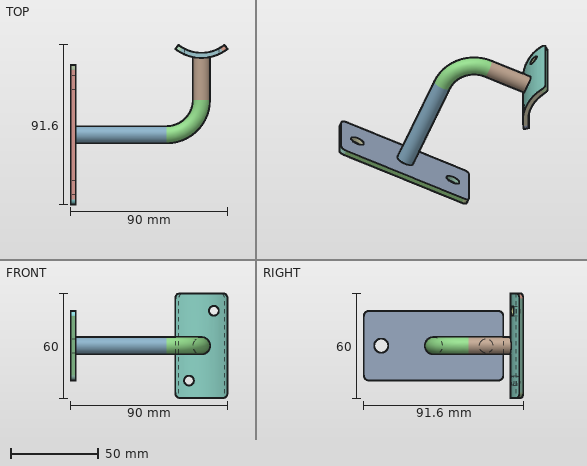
import cadquery as cq
import math

overall_x = 90.0
overall_y = 91.6

plate_length = 80.0
plate_height = 40.0
sheet_thickness = 3.0
corner_radius = 3.0
plate_hole_diameter = 8.0
plate_hole_spacing = 60.0

rod_diameter = 10.0
bend_radius = 20.0

saddle_width = 30.0
saddle_height = 60.0
saddle_inner_radius = 21.2
saddle_hole_diameter = 5.5
saddle_hole_offset = 7.1
saddle_hole_spacing = 40.0

rod_y = plate_length / 2
saddle_x = overall_x - saddle_width / 2
saddle_outer_radius = saddle_inner_radius + sheet_thickness
saddle_half_angle = math.asin(saddle_width / 2 / saddle_outer_radius)
saddle_axis_y = overall_y + saddle_inner_radius * math.cos(saddle_half_angle)
saddle_mid_y = saddle_axis_y - saddle_inner_radius - sheet_thickness / 2


def make_wall_plate():
    """Rectangular plate with rounded corners and two screw holes."""
    plate = (
        cq.Workplane("YZ")
        .center(rod_y, 0)
        .rect(plate_length, plate_height)
        .extrude(sheet_thickness)
        .edges("|X")
        .fillet(corner_radius)
    )
    holes = (
        cq.Workplane("YZ")
        .center(rod_y, 0)
        .rarray(plate_hole_spacing, 0.9, 2, 1)
        .circle(plate_hole_diameter / 2)
        .extrude(sheet_thickness)
    )
    return plate.cut(holes)


def make_rod():
    """Round rod leaving the plate along X and bending to +Y into the saddle."""
    bend_start_x = saddle_x - bend_radius
    bend_end_y = rod_y + bend_radius
    path = (
        cq.Workplane("XY")
        .moveTo(sheet_thickness, rod_y)
        .lineTo(bend_start_x, rod_y)
        .tangentArcPoint((saddle_x, bend_end_y), relative=False)
        .lineTo(saddle_x, saddle_mid_y)
    )
    section = cq.Workplane("YZ", origin=(sheet_thickness, rod_y, 0))
    return section.circle(rod_diameter / 2).sweep(path)


def saddle_point(radius, angle):
    """Point at an angle from the saddle's mid line, around its tube axis."""
    return (saddle_x + radius * math.sin(angle), saddle_axis_y - radius * math.cos(angle))


def make_saddle():
    """Arc-shaped sheet with radial ends and rounded corners."""
    return (
        cq.Workplane("XY", origin=(0, 0, -saddle_height / 2))
        .moveTo(*saddle_point(saddle_outer_radius, -saddle_half_angle))
        .threePointArc(
            saddle_point(saddle_outer_radius, 0),
            saddle_point(saddle_outer_radius, saddle_half_angle),
        )
        .lineTo(*saddle_point(saddle_inner_radius, saddle_half_angle))
        .threePointArc(
            saddle_point(saddle_inner_radius, 0),
            saddle_point(saddle_inner_radius, -saddle_half_angle),
        )
        .close()
        .extrude(saddle_height)
        .edges("%LINE and (not |Z)")
        .fillet(corner_radius)
    )


def make_saddle_holes():
    """Two screw holes along Y, placed diagonally about the rod."""
    hole_x = saddle_hole_offset
    hole_z = saddle_hole_spacing / 2
    return (
        cq.Workplane("XZ", origin=(saddle_x, saddle_axis_y, 0))
        .pushPoints([(hole_x, hole_z), (-hole_x, -hole_z)])
        .circle(saddle_hole_diameter / 2)
        .extrude(saddle_outer_radius)
    )


saddle = make_saddle().cut(make_saddle_holes())
result = make_wall_plate().union(make_rod()).union(saddle)